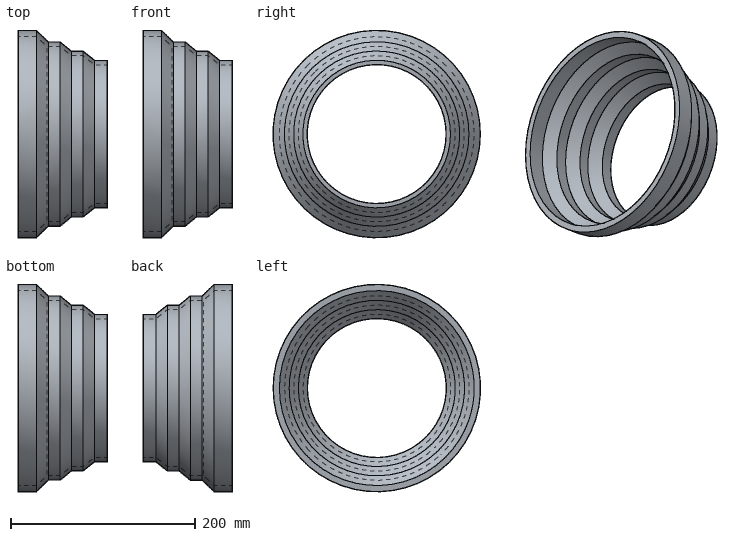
import cadquery as cq

outer_bands = [
    (0.0, 19.8, 225.0),
    (32.8, 45.7, 200.0),
    (57.8, 70.6, 180.0),
    (83.0, 97.0, 160.0),
]
inner_bands = [
    (0.0, 19.8, 211.3),
    (31.5, 45.7, 190.1),
    (57.8, 70.6, 170.0),
    (83.0, 97.0, 150.3),
]


def wall_points(bands):
    """Return the (X, radius) ends of each band; straight lines between bands are the cones."""
    points = []
    for start_x, end_x, diameter in bands:
        points.append((start_x, diameter / 2))
        points.append((end_x, diameter / 2))
    return points


section_points = wall_points(outer_bands) + wall_points(inner_bands)[::-1]
wall_section = cq.Workplane("XY").polyline(section_points).close()

result = wall_section.revolve(360, (0, 0, 0), (1, 0, 0))